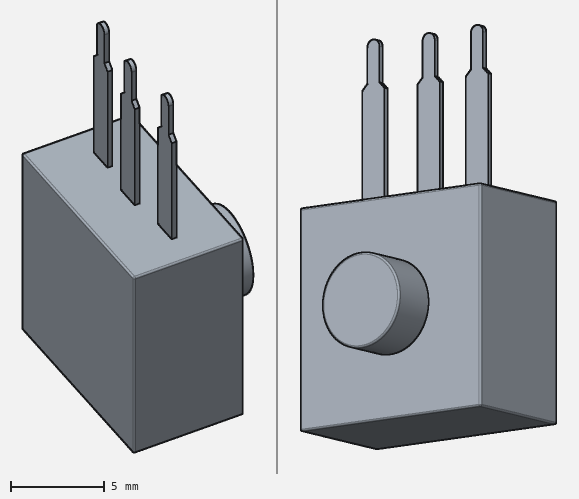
import cadquery as cq

body_width = 12.2
body_depth = 6.8
body_height = 12.2
edge_radius = 0.1

overall_depth = 9.43
button_diameter = 5.2
button_length = overall_depth - body_depth

overall_height = 21.6
pin_length = overall_height - body_height
pin_pitch = 3.5
pin_thickness = 0.3
pin_width = 1.51
tip_width = 0.82
tip_length = 2.4
shoulder = (pin_width - tip_width) / 2


def make_body():
    return cq.Workplane("XY").box(body_width, body_depth, body_height).edges().fillet(edge_radius)


def make_button():
    """Cylinder from the housing centre plane out past the +Y face, rounded at its end."""
    return (
        cq.Workplane("XZ")
        .circle(button_diameter / 2)
        .extrude(-(body_depth / 2 + button_length))
        .faces(">Y")
        .edges()
        .fillet(edge_radius)
    )


def make_pin(x_center, y_front):
    """Stepped blade with a round end; y_front is its -Y face."""
    top = body_height / 2 + pin_length
    neck = top - tip_length
    arc_start = top - tip_width / 2
    half_pin = pin_width / 2
    half_tip = tip_width / 2
    return (
        cq.Workplane("XZ", origin=(x_center, y_front, 0))
        .moveTo(-half_pin, 0)
        .lineTo(half_pin, 0)
        .lineTo(half_pin, neck - shoulder)
        .lineTo(half_tip, neck)
        .lineTo(half_tip, arc_start)
        .threePointArc((0, top), (-half_tip, arc_start))
        .lineTo(-half_tip, neck)
        .lineTo(-half_pin, neck - shoulder)
        .close()
        .extrude(-pin_thickness)
    )


result = make_body().union(make_button())

for position in (-1, 0, 1):
    front_face = -pin_thickness if position == 0 else 0
    result = result.union(make_pin(position * pin_pitch, front_face))